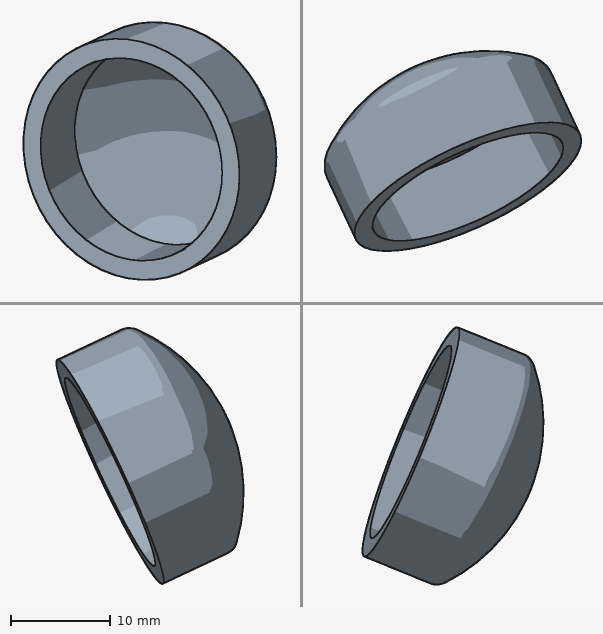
import cadquery as cq
import math

outer_radius = 12.5
total_height = 13.0
wall = 2.0
dome_radius = 18.0
shoulder_radius = 1.65

inner_radius = outer_radius - wall
inner_dome_radius = dome_radius - wall
dome_center_y = total_height - dome_radius


def dome_y(radius, distance):
    """Y of a dome of the given radius at a distance from the axis."""
    return dome_center_y + math.sqrt(radius**2 - distance**2)


shoulder_center_x = outer_radius - shoulder_radius
side_height = dome_y(dome_radius - shoulder_radius, shoulder_center_x)
tangent_angle = math.acos(shoulder_center_x / (dome_radius - shoulder_radius))


def shoulder_point(angle):
    """Point on the shoulder arc, angle measured from the +X direction."""
    return (
        shoulder_center_x + shoulder_radius * math.cos(angle),
        side_height + shoulder_radius * math.sin(angle),
    )


dome_edge = shoulder_point(tangent_angle)
dome_mid_x = dome_edge[0] / 2
inner_mid_x = inner_radius / 2

half_section = (
    cq.Workplane("XY")
    .moveTo(inner_radius, 0)
    .lineTo(outer_radius, 0)
    .lineTo(outer_radius, side_height)
    .threePointArc(shoulder_point(tangent_angle / 2), dome_edge)
    .threePointArc((dome_mid_x, dome_y(dome_radius, dome_mid_x)), (0, total_height))
    .lineTo(0, total_height - wall)
    .threePointArc(
        (inner_mid_x, dome_y(inner_dome_radius, inner_mid_x)),
        (inner_radius, dome_y(inner_dome_radius, inner_radius)),
    )
    .close()
)

result = half_section.revolve(360, (0, 0, 0), (0, 1, 0))